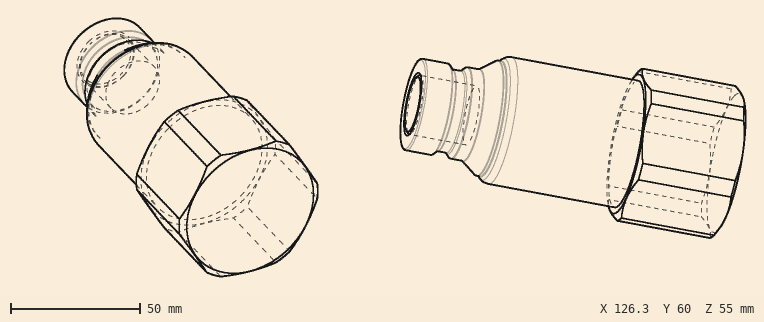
import cadquery as cq
import math


total_length = 126.3
adapter_start = 86.0

nose_radius = 18.0
tip_rounding = 0.6
groove_start = 10.7
groove_end = 18.5
groove_radius = 16.2

cone_start = 23.5
cone_end = 29.9
land_radius = 22.7
land_end = 31.2

body_radius = 25.0
shoulder_rounding = 3.8
edge_rounding = 0.5
groove_rear_rounding = 1.0

valve_radius = 11.6
valve_length = cone_start
rim_chamfer = 0.8

across_flats = 55.0
across_corners = 60.0
face_radius = 27.4
adapter_chamfer_angle = 30.0

match_tolerance = 0.01


def rims(solid, places):
    """Select the circular edges given as (position along X, edge radius)."""

    def is_chosen(edge):
        if edge.geomType() != "CIRCLE":
            return False
        along = edge.Center().x
        return any(math.hypot(along - x, edge.radius() - r) < match_tolerance for x, r in places)

    return solid.newObject([edge for edge in solid.edges().vals() if is_chosen(edge)])


def make_body():
    groove_depth = nose_radius - groove_radius
    shoulder_rise = body_radius - land_radius
    floor_start = groove_start + groove_depth
    floor_end = groove_end - groove_depth
    shoulder_end = land_end + shoulder_rise

    outline = [
        (0, 0),
        (0, nose_radius),
        (groove_start, nose_radius),
        (floor_start, groove_radius),
        (floor_end, groove_radius),
        (groove_end, nose_radius),
        (cone_start, nose_radius),
        (cone_end, land_radius),
        (land_end, land_radius),
        (shoulder_end, body_radius),
        (adapter_start, body_radius),
        (adapter_start, 0),
    ]
    body = cq.Workplane("XZ").polyline(outline).close().revolve(360, (0, 0), (1, 0))

    body = rims(body, [(0, nose_radius)]).fillet(tip_rounding)
    body = rims(body, [(shoulder_end, body_radius)]).fillet(shoulder_rounding)
    body = rims(body, [(floor_end, groove_radius)]).fillet(groove_rear_rounding)
    edge_rims = [
        (groove_start, nose_radius),
        (floor_start, groove_radius),
        (groove_end, nose_radius),
        (cone_start, nose_radius),
        (cone_end, land_radius),
        (land_end, land_radius),
    ]
    body = rims(body, edge_rims).fillet(edge_rounding)

    body = body.cut(cq.Workplane("YZ").circle(valve_radius).extrude(valve_length))
    return rims(body, [(0, valve_radius)]).chamfer(rim_chamfer)


def make_valve():
    valve = cq.Workplane("YZ").circle(valve_radius).extrude(valve_length)
    return valve.faces("<X").chamfer(rim_chamfer)


def make_adapter():
    length = total_length - adapter_start
    sharp_across_corners = across_flats / math.cos(math.radians(30))
    joint_plane = cq.Workplane("YZ", origin=(adapter_start, 0, 0))
    hexagon = joint_plane.polygon(6, sharp_across_corners).extrude(length)
    corner_radius = across_corners / 2
    corner_rise = corner_radius - face_radius
    chamfer_length = corner_rise * math.tan(math.radians(adapter_chamfer_angle))
    blank = joint_plane.circle(corner_radius).extrude(length)
    blank = blank.edges("%CIRCLE").chamfer(chamfer_length, corner_rise)
    return hexagon.intersect(blank)


body = make_body()
valve = make_valve()
adapter = make_adapter()

result = cq.Compound.makeCompound([body.val(), valve.val(), adapter.val()])